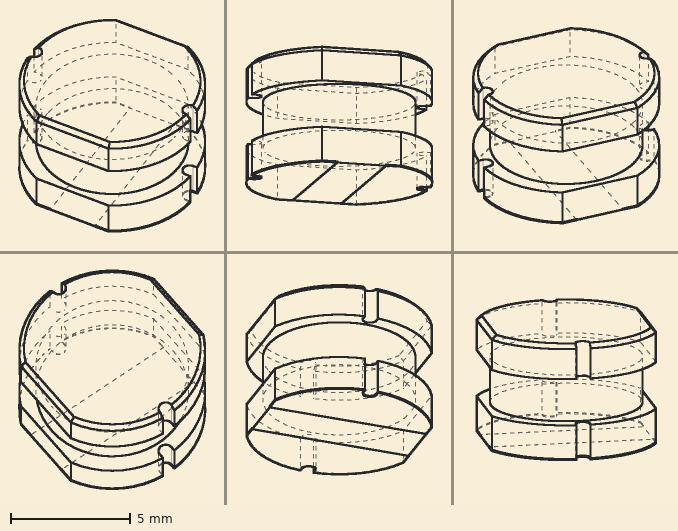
import cadquery as cq

height = 5.0
flange_radius = 3.9
flats_width = 7.0
flange_thickness = 1.5
top_chamfer = 0.2
waist_radius = 3.2

notch_width = 0.6
notch_floor_x = 3.39

cap_gap = 2.12
cap_depth = 0.05
cap_wall = 0.003


def flange_blank(radius, width, bottom, thickness):
    """Disc with two flats facing +Y and -Y."""
    disc = cq.Workplane("XY").workplane(offset=bottom).circle(radius).extrude(thickness)
    slab = cq.Workplane("XY").workplane(offset=bottom).rect(2 * radius, width).extrude(thickness)
    return disc.intersect(slab)


def cut_notches(body, inset=0):
    """Cut round-ended notches at both X ends, made smaller all round by the inset."""
    width = notch_width - 2 * inset
    slot_length = 2 * (flange_radius - notch_floor_x) + width
    slot_center = notch_floor_x + inset + slot_length / 2
    slots = (
        cq.Workplane("XY")
        .workplane(offset=-cap_wall)
        .pushPoints([(-slot_center, 0), (slot_center, 0)])
        .slot2D(slot_length, width)
        .extrude(height + cap_wall)
    )
    return body.cut(slots)


def make_core():
    """Two notched flanges joined by the waist, with the upper flange's top rim chamfered."""
    lower = flange_blank(flange_radius, flats_width, 0, flange_thickness)
    upper = flange_blank(flange_radius, flats_width, height - flange_thickness, flange_thickness)
    upper = upper.faces(">Z").chamfer(top_chamfer)
    waist_length = height - 2 * flange_thickness
    waist = cq.Workplane("XY").workplane(offset=flange_thickness).circle(waist_radius).extrude(waist_length)
    return cut_notches(lower.union(waist).union(upper))


def make_caps():
    """Two thin terminals following the flange outline, separated by a gap along X."""
    cap_radius = flange_radius + cap_wall
    caps = flange_blank(cap_radius, flats_width + 2 * cap_wall, -cap_wall, cap_depth)
    gap = cq.Workplane("XY").workplane(offset=-cap_wall).rect(cap_gap, 2 * cap_radius).extrude(cap_depth)
    return cut_notches(caps.cut(gap), cap_wall)


result = make_core().union(make_caps())